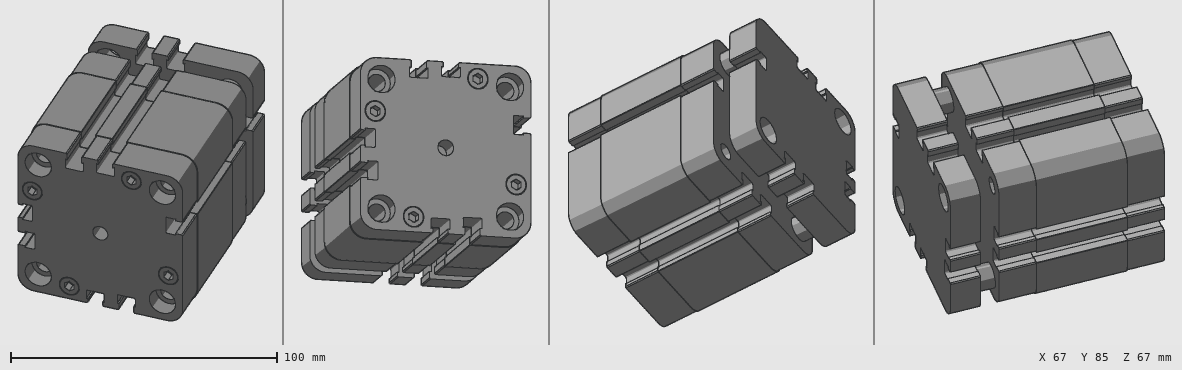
import cadquery as cq
import math

total_length = 85.0
plate_thickness = 12.0
rod_gap = 7.3
cap_length = 14.8
tube_length = total_length - plate_thickness - rod_gap - 2 * cap_length

tube_width = 67.0
cap_inset = 0.3
cap_width = tube_width - 2 * cap_inset
corner_centre = 26.9

deep_offset = 10.45
shallow_offset = 2.0
deep_floor = 26.35
shallow_floor = 27.4
slots = [
    (-deep_offset, deep_floor, 0),
    (shallow_offset, shallow_floor, 0),
    (-deep_offset, deep_floor, 90),
    (-deep_offset, deep_floor, 180),
    (shallow_offset, shallow_floor, 180),
    (-deep_offset, deep_floor, 270),
    (shallow_offset, shallow_floor, 270),
]
slot_neck_width = 5.9
slot_cavity_width = 7.2
slot_cavity_height = 3.9
slot_corner_radius = 0.6
cap_lip_chamfer = 0.4
tube_lip_chamfer = 0.2
tube_slot_inset = 0.2

mount_offset = 25.0
mount_bore = 6.6
mount_counterbore = 10.5
mount_counterbore_depth = 6.8
plate_bore = 11.0

guide_offset = 24.0
guide_diameter = 10.0
rod_diameter = 16.0
rod_flats = 13.0
rod_end_radius = 1.7
flat_end_from_plate = 5.4

port_diameter = 6.0
port_depth = 10.2
screw_near = 12.5
screw_far = 27.4
screw_recess = 8.0
screw_head = 7.5
screw_head_height = 4.7
hex_flats = 3.65
hex_depth = 3.8

rear_y = -total_length / 2
tube_start = rear_y + cap_length
tube_end = tube_start + tube_length
housing_end = tube_end + cap_length
plate_y = housing_end + rod_gap


def section(y):
    """Workplane across the part at station y: local x is X, local y is Z, facing -Y."""
    return cq.Workplane("XZ", origin=(0, y, 0))


def cylinder(x, z, diameter, y, length):
    return section(y).center(x, z).circle(diameter / 2).extrude(-length)


def slot(offset, floor, inset, lip, width, y, length):
    """T-slot cutter opening to +Z on a block of the given width, shrunk by inset.

    The mouth is chamfered by lip.
    """
    neck = slot_neck_width / 2 - inset
    cavity = slot_cavity_width / 2 - inset
    floor_z = floor + inset
    step_z = floor + slot_cavity_height - inset
    top_z = width / 2
    right_side = [
        (cavity, floor_z),
        (cavity, step_z),
        (neck, step_z),
        (neck, top_z - lip),
        (neck + lip, top_z),
    ]
    left_side = [(-x, z) for x, z in reversed(right_side)]
    cutter = section(y).center(offset, 0).polyline(right_side + left_side).close().extrude(-length)
    return cutter.edges("|Y and <Z").fillet(slot_corner_radius)


def slotted_block(width, y, length, inset, lip):
    """Square block with rounded corners and the T-slots along its sides."""
    radius = width / 2 - corner_centre
    block = section(y).rect(width, width).extrude(-length).edges("|Y").fillet(radius)
    for offset, floor, angle in slots:
        cutter = slot(offset, floor, inset, lip, width, y, length)
        block = block.cut(cutter.rotate((0, 0, 0), (0, 1, 0), angle))
    return block


def piston_rod():
    radius = rod_diameter / 2
    rod = cylinder(0, 0, rod_diameter, housing_end, rod_gap).faces(">Y").edges().fillet(rod_end_radius)
    flat_depth = radius - rod_flats / 2
    flat_end = plate_y - flat_end_from_plate
    flat_cut = (
        cq.Workplane("XY")
        .moveTo(rod_flats / 2, plate_y)
        .lineTo(rod_flats / 2, flat_end)
        .lineTo(radius, flat_end - flat_depth)
        .lineTo(radius, plate_y)
        .close()
        .extrude(radius, both=True)
    )
    return rod.cut(flat_cut).cut(flat_cut.mirror("YZ"))


def cap_screw(x, z):
    """Ring gap around a flush screw head, plus its hex socket."""
    gap = (
        section(rear_y)
        .center(x, z)
        .circle(screw_recess / 2)
        .circle(screw_head / 2)
        .extrude(-screw_head_height)
    )
    hex_corners = hex_flats / math.cos(math.pi / 6)
    socket = (
        section(rear_y)
        .center(x, z)
        .transformed(rotate=(0, 0, 30))
        .polygon(6, hex_corners)
        .extrude(-hex_depth)
    )
    return gap.union(socket)


rear_cap = slotted_block(cap_width, rear_y, cap_length, 0, cap_lip_chamfer)
tube = slotted_block(tube_width, tube_start, tube_length, tube_slot_inset, tube_lip_chamfer)
front_cap = slotted_block(cap_width, tube_end, cap_length, 0, cap_lip_chamfer)
plate = slotted_block(cap_width, plate_y, plate_thickness, 0, cap_lip_chamfer)
result = rear_cap.union(tube).union(front_cap).union(plate).union(piston_rod())
for side in (1, -1):
    guide = cylinder(side * guide_offset, side * guide_offset, guide_diameter, housing_end, rod_gap)
    result = result.union(guide)

for side_x in (1, -1):
    for side_z in (1, -1):
        x = side_x * mount_offset
        z = side_z * mount_offset
        result = result.cut(cylinder(x, z, mount_counterbore, rear_y, mount_counterbore_depth))
        if side_x == side_z:
            result = result.cut(cylinder(x, z, mount_bore, rear_y, tube_end - rear_y))
        else:
            result = result.cut(cylinder(x, z, mount_bore, rear_y, housing_end - rear_y))
            result = result.cut(cylinder(x, z, plate_bore, plate_y, plate_thickness))

result = result.cut(cylinder(0, 0, port_diameter, rear_y, port_depth))
for side in (1, -1):
    result = result.cut(cap_screw(side * screw_near, side * screw_far))
    result = result.cut(cap_screw(-side * screw_far, side * screw_near))